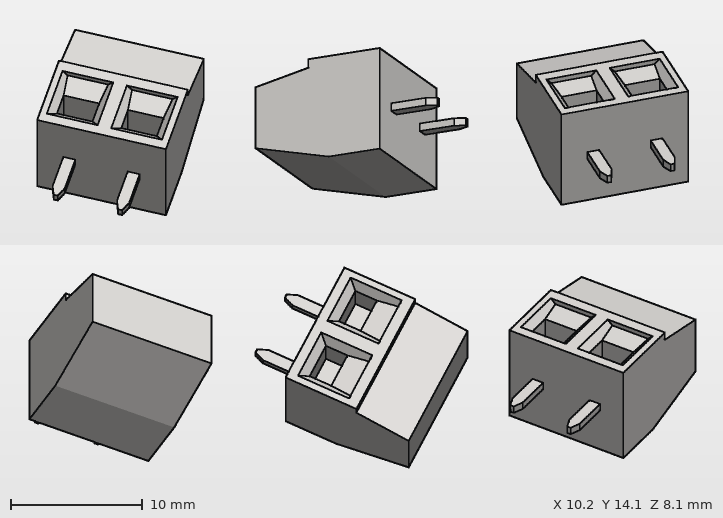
import cadquery as cq

POLE_COUNT = 2
POLE_PITCH = 5.08
WIDTH = 10.17
DEPTH = 10.39
HEIGHT = 8.1

LEDGE_DEPTH = 5.98
LEDGE_STEP = 0.69
REAR_TOP_DROP = 1.6
REAR_BOTTOM_RISE = 1.6
FLAT_UNDERSIDE = 4.26

MOUTH_WIDTH = 4.0
MOUTH_FRONT = 0.79
MOUTH_BACK = 5.09
SHAFT_WIDTH = 2.8
SHAFT_FRONT = 1.48
SHAFT_BACK = 3.3
FUNNEL_DEPTH = 0.6
BACK_WALL_DEPTH = 0.41
POCKET_DEPTH = 3.0

PIN_WIDTH = 0.95
PIN_THICKNESS = 0.6
PIN_LENGTH = 3.71
PIN_TIP_WIDTH = 0.31
PIN_TIP_LENGTH = 0.8
PIN_CENTRE_HEIGHT = 4.0


def make_housing():
    side_outline = [
        (0, 0),
        (FLAT_UNDERSIDE, 0),
        (DEPTH, REAR_BOTTOM_RISE),
        (DEPTH, HEIGHT - REAR_TOP_DROP),
        (LEDGE_DEPTH, HEIGHT - LEDGE_STEP),
        (LEDGE_DEPTH, HEIGHT),
        (0, HEIGHT),
    ]
    return cq.Workplane("YZ").polyline(side_outline).close().extrude(WIDTH / 2, both=True)


def make_pocket(x):
    """Pocket volume centred on x: the overlap of its side and front outlines."""
    floor = HEIGHT - POCKET_DEPTH
    funnel_bottom = HEIGHT - FUNNEL_DEPTH
    side_outline = [
        (MOUTH_FRONT, HEIGHT),
        (SHAFT_FRONT, funnel_bottom),
        (SHAFT_FRONT, floor),
        (SHAFT_BACK, floor),
        (SHAFT_BACK, funnel_bottom),
        (MOUTH_BACK, HEIGHT - BACK_WALL_DEPTH),
        (MOUTH_BACK, HEIGHT),
    ]
    front_outline = [
        (-MOUTH_WIDTH / 2, HEIGHT),
        (-SHAFT_WIDTH / 2, funnel_bottom),
        (-SHAFT_WIDTH / 2, floor),
        (SHAFT_WIDTH / 2, floor),
        (SHAFT_WIDTH / 2, funnel_bottom),
        (MOUTH_WIDTH / 2, HEIGHT),
    ]
    side_shape = cq.Workplane("YZ").polyline(side_outline).close().extrude(MOUTH_WIDTH / 2, both=True)
    front_shape = cq.Workplane("XZ").polyline(front_outline).close().extrude(-MOUTH_BACK)
    return side_shape.intersect(front_shape).translate((x, 0, 0))


def make_pin(x):
    """Flat pin centred on x, standing out of the pin face and tapering to a blunt tip."""
    shoulder = PIN_TIP_LENGTH - PIN_LENGTH
    outline = [
        (-PIN_WIDTH / 2, 0),
        (-PIN_WIDTH / 2, shoulder),
        (-PIN_TIP_WIDTH / 2, -PIN_LENGTH),
        (PIN_TIP_WIDTH / 2, -PIN_LENGTH),
        (PIN_WIDTH / 2, shoulder),
        (PIN_WIDTH / 2, 0),
    ]
    blade = cq.Workplane("XY").polyline(outline).close().extrude(PIN_THICKNESS / 2, both=True)
    return blade.translate((x, 0, PIN_CENTRE_HEIGHT))


result = make_housing()
for pole in range(POLE_COUNT):
    pole_x = (pole - (POLE_COUNT - 1) / 2) * POLE_PITCH
    result = result.cut(make_pocket(pole_x)).union(make_pin(pole_x))